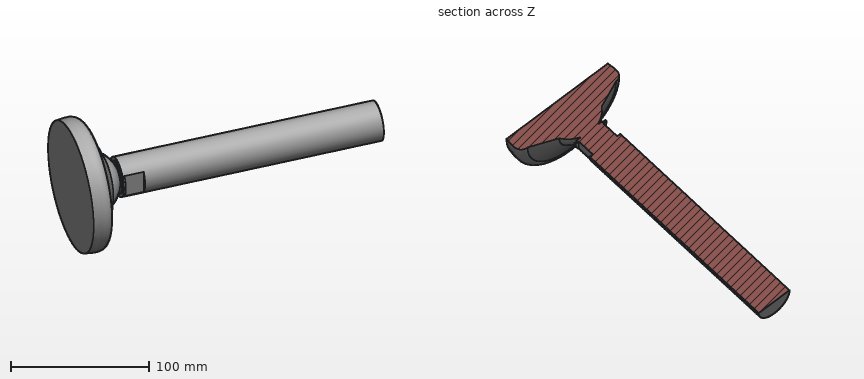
import cadquery as cq
import math

total_length = 235.0

base_radius = 50.0
sole_radius = 49.4
rim_bottom = 5.6
rim_top = 9.2
shoulder_radius = 43.0
shoulder_height = 16.0

dome_edge_radius = 20.7
dome_edge_height = 25.4
dome_radius = 25.0
dome_center_height = dome_edge_height - math.sqrt(dome_radius**2 - dome_edge_radius**2)

spindle_radius = 15.0
spindle_bottom = 35.5
collar_radius = 12.5
collar_bottom = 34.8
neck_radius = math.sqrt(dome_radius**2 - (collar_bottom - dome_center_height) ** 2)

across_flats = 24.0
flat_bottom = 37.0
flat_top = 51.7


def dome_height(radius):
    """Height of the spherical dome at a distance from the axis."""
    return dome_center_height + math.sqrt(dome_radius**2 - radius**2)


def turned_body():
    """Base, dome, collar and spindle as one revolved profile."""
    dome_middle_radius = (dome_edge_radius + neck_radius) / 2
    profile = (
        cq.Workplane("XY")
        .lineTo(sole_radius, 0)
        .lineTo(base_radius, rim_bottom)
        .lineTo(base_radius, rim_top)
        .tangentArcPoint((shoulder_radius, shoulder_height), relative=False)
        .lineTo(dome_edge_radius, dome_edge_height)
        .threePointArc(
            (dome_middle_radius, dome_height(dome_middle_radius)),
            (neck_radius, collar_bottom),
        )
        .lineTo(collar_radius, collar_bottom)
        .lineTo(collar_radius, spindle_bottom)
        .lineTo(spindle_radius, spindle_bottom)
        .lineTo(spindle_radius, total_length)
        .lineTo(0, total_length)
        .close()
    )
    return profile.revolve(360, (0, 0, 0), (0, 1, 0))


def flat_cutter(side):
    """Block that removes one wrench flat on the +X (1) or -X (-1) side."""
    depth = spindle_radius
    return cq.Workplane("XY").box(depth, flat_top - flat_bottom, 2 * spindle_radius).translate(
        (side * (across_flats + depth) / 2, (flat_bottom + flat_top) / 2, 0)
    )


result = turned_body()
for side in (-1, 1):
    result = result.cut(flat_cutter(side))